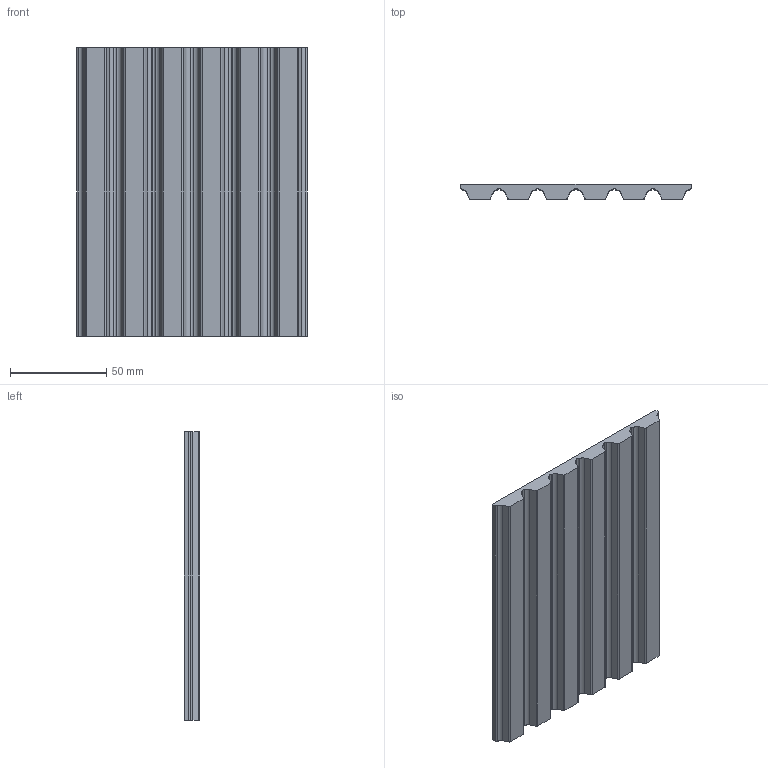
import cadquery as cq
import math

pitch = 20.0
tooth_count = 6
belt_width = 150.0
thickness = 8.0
tooth_height = 5.0
tip_width = 10.4
flank_angle = 25.0
tip_radius = 0.8
root_radius = 2.5
relief_radius = 0.8

length = pitch * tooth_count
tip_y = -thickness / 2
root_y = tip_y + tooth_height
bottom_z = -belt_width / 2

flank_run = tooth_height * math.tan(math.radians(flank_angle))
gap_half_mouth = (pitch - tip_width) / 2
gap_half_floor = gap_half_mouth - flank_run


def make_gap(center_x):
    """Space between two neighbouring teeth, including its relief channel."""
    trapezoid = (
        cq.Workplane("XY", origin=(center_x, 0, bottom_z))
        .moveTo(-gap_half_mouth, tip_y)
        .lineTo(-gap_half_floor, root_y)
        .lineTo(gap_half_floor, root_y)
        .lineTo(gap_half_mouth, tip_y)
        .close()
        .extrude(belt_width)
        .edges("|Z and >Y")
        .fillet(root_radius)
    )
    relief = (
        cq.Workplane("XY", origin=(center_x, root_y, bottom_z))
        .circle(relief_radius)
        .extrude(belt_width)
    )
    return trapezoid.union(relief)


belt = cq.Workplane("XY").box(length, thickness, belt_width)
for index in range(tooth_count + 1):
    belt = belt.cut(make_gap(index * pitch - length / 2))

result = belt.edges("|Z and <Y").fillet(tip_radius)